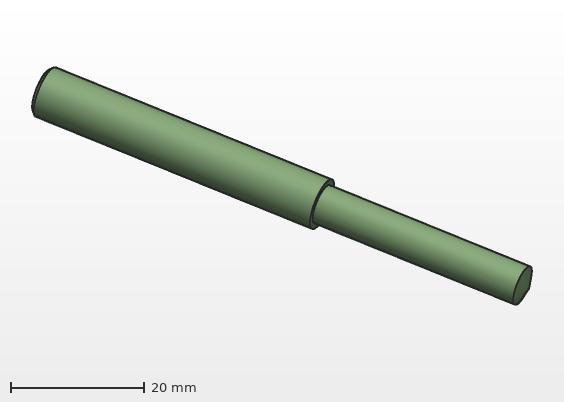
import math

import cadquery as cq

overall_length = 82.0
shank_diameter = 8.0
shank_length = 47.1
shank_chamfer = 0.55
pin_diameter = 6.2
cone_angle = 140.0

shank_radius = shank_diameter / 2
pin_radius = pin_diameter / 2
cone_length = pin_radius / math.tan(math.radians(cone_angle / 2))


def half_profile():
    """Half section above the axis, from the shank end to the cone apex."""
    return (
        cq.Workplane("XY")
        .moveTo(0, 0)
        .lineTo(0, shank_radius - shank_chamfer)
        .lineTo(shank_chamfer, shank_radius)
        .lineTo(shank_length, shank_radius)
        .lineTo(shank_length, pin_radius)
        .lineTo(overall_length - cone_length, pin_radius)
        .lineTo(overall_length, 0)
        .close()
    )


result = half_profile().revolve(360, (0, 0, 0), (1, 0, 0))